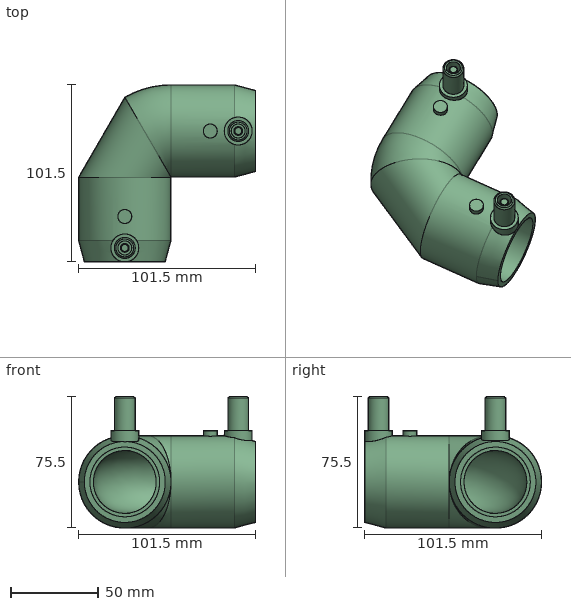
import cadquery as cq
import math

outer_radius = 26.5
socket_radius = 20.0
bend_bore_radius = 18.0
arm_end = 75.0
taper_length = 12.25
taper_angle = 15.0
mouth_radius = outer_radius - taper_length * math.tan(math.radians(taper_angle))

inner_bend_gap = 0.02
bend_radius = outer_radius + inner_bend_gap
bend_angle = 90.0
round_turn_angle = 30.0
wedge_angle = bend_angle - round_turn_angle
pivot_x = bend_radius
pivot_y = -bend_radius

x_terminal_distance = 65.0
y_terminal_distance = 67.02
indicator_distance = 49.0
collar_radius = 8.0
collar_bottom = 23.0
collar_top = 29.5
shroud_radius = 6.0
shroud_top = 49.0
shroud_chamfer = 0.9
well_radius = 4.0
well_depth = 12.0
contact_radius = 2.5
contact_recess = 2.0
contact_chamfer = 0.5
indicator_radius = 4.0


def cylinder_up(x, y, radius, bottom, top):
    """Vertical cylinder between two heights."""
    return cq.Workplane("XY", origin=(x, y, bottom)).circle(radius).extrude(top - bottom)


def turned_arm(profile):
    """Solid along +X from the bend to the mouth, turned from (distance, radius) points."""
    points = [(bend_radius, 0)] + profile + [(arm_end, 0)]
    return cq.Workplane("XY").polyline(points).close().revolve(360, (0, 0), (1, 0))


def outer_arm():
    """Straight arm with a tapered mouth."""
    return turned_arm([
        (bend_radius, outer_radius),
        (arm_end - taper_length, outer_radius),
        (arm_end, mouth_radius),
    ])


def socket():
    """Cylindrical pipe socket."""
    return turned_arm([(bend_radius, socket_radius), (arm_end, socket_radius)])


def place_on_y_arm(solid):
    """Mirror a solid lying along +X so that it lies along -Y."""
    return solid.mirror(cq.Vector(1, 1, 0), (0, 0, 0))


def turn_section(angle, radius):
    """Circle across the bend, at an angle from the Y arm about the pivot."""
    turn = math.radians(angle)
    center = (pivot_x - bend_radius * math.cos(turn), pivot_y + bend_radius * math.sin(turn), 0)
    along = (math.sin(turn), math.cos(turn), 0)
    return cq.Workplane(cq.Plane(origin=center, xDir=(0, 0, 1), normal=along)).circle(radius)


def round_turn(start_angle, sweep_angle, radius):
    """Part of a torus about the vertical axis through the pivot."""
    section = turn_section(start_angle, radius)
    pivot_in_section = section.plane.toLocalCoords(cq.Vector(pivot_x, pivot_y, 0))
    axis_point = (pivot_in_section.x, pivot_in_section.y)
    axis_end = (pivot_in_section.x - 1, pivot_in_section.y)
    return section.revolve(sweep_angle, axis_point, axis_end)


def wedge():
    """Straight-sided piece between the Y arm and the round turn."""
    end_circles = [turn_section(angle, outer_radius).val() for angle in (0, wedge_angle)]
    return cq.Workplane(cq.Solid.makeLoft(end_circles, True))


def terminal(x, y):
    """Shrouded electrical terminal: collar, tube and central contact pin."""
    collar = cylinder_up(x, y, collar_radius, collar_bottom, collar_top)
    shroud = cylinder_up(x, y, shroud_radius, collar_bottom, shroud_top)
    shroud = shroud.faces(">Z").chamfer(shroud_chamfer)
    well_bottom = shroud_top - well_depth
    well = cylinder_up(x, y, well_radius, well_bottom, shroud_top)
    contact = cylinder_up(x, y, contact_radius, well_bottom, shroud_top - contact_recess)
    contact = contact.faces(">Z").chamfer(contact_chamfer)
    return collar.union(shroud).cut(well).union(contact)


def indicator(x, y):
    """Fusion indicator pin."""
    return cylinder_up(x, y, indicator_radius, collar_bottom, collar_top)


body = outer_arm()
body = body.union(round_turn(wedge_angle, round_turn_angle, outer_radius))
body = body.union(wedge())
body = body.union(place_on_y_arm(outer_arm()))

body = body.union(terminal(x_terminal_distance, 0))
body = body.union(terminal(0, -y_terminal_distance))
body = body.union(indicator(indicator_distance, 0))
body = body.union(indicator(0, -indicator_distance))

bore = socket()
bore = bore.union(round_turn(0, bend_angle, bend_bore_radius))
bore = bore.union(place_on_y_arm(socket()))

result = body.cut(bore)